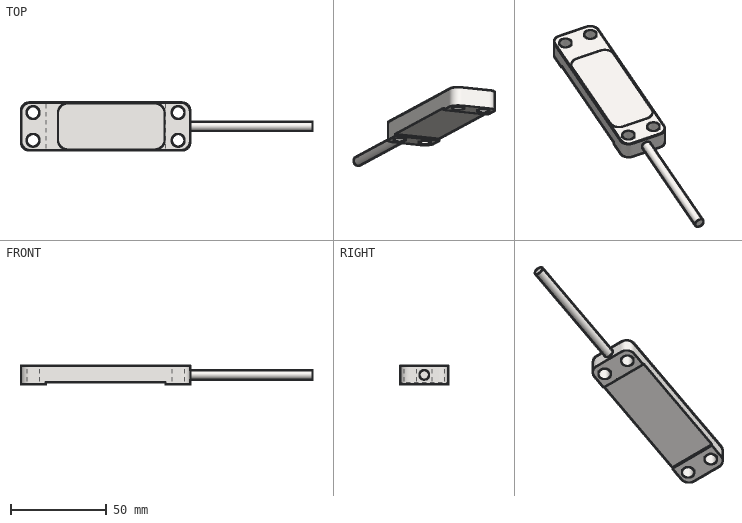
import cadquery as cq

overall_length = 153.3
body_length = 89.0
body_width = 25.5
body_height = 10.0
corner_radius = 4.8
top_edge_chamfer = 0.3

hole_diameter = 6.6
hole_end_inset = 6.5
hole_spacing_x = body_length - 2 * hole_end_inset
hole_spacing_y = 14.5

foot_length = 13.2
relief_depth = 1.0

cover_length = 56.1
cover_width = 24.0
cover_radius = 5.0
cover_center_x = 47.5
recess_depth = 0.08

cable_diameter = 5.0
cable_center_z = body_height / 2
cable_overlap = 1.5


def make_body():
    block = cq.Workplane("XY").box(body_length, body_width, body_height, centered=(False, True, False))
    rounded_block = block.edges("|Z").fillet(corner_radius)
    return rounded_block.faces(">Z").edges().chamfer(top_edge_chamfer)


def make_mounting_holes():
    return (
        cq.Workplane("XY")
        .center(body_length / 2, 0)
        .rect(hole_spacing_x, hole_spacing_y, forConstruction=True)
        .vertices()
        .circle(hole_diameter / 2)
        .extrude(body_height)
    )


def make_underside_relief():
    relief_length = body_length - 2 * foot_length
    return (
        cq.Workplane("XY")
        .center(body_length / 2, 0)
        .rect(relief_length, body_width)
        .extrude(relief_depth)
    )


def make_cover_recess():
    return (
        cq.Workplane("XY", origin=(cover_center_x, 0, body_height - recess_depth))
        .rect(cover_length, cover_width)
        .extrude(recess_depth)
        .edges("|Z")
        .fillet(cover_radius)
    )


def make_cable():
    start_x = body_length - cable_overlap
    return (
        cq.Workplane("YZ", origin=(start_x, 0, cable_center_z))
        .circle(cable_diameter / 2)
        .extrude(overall_length - start_x)
    )


result = (
    make_body()
    .cut(make_mounting_holes())
    .cut(make_underside_relief())
    .cut(make_cover_recess())
    .union(make_cable())
)